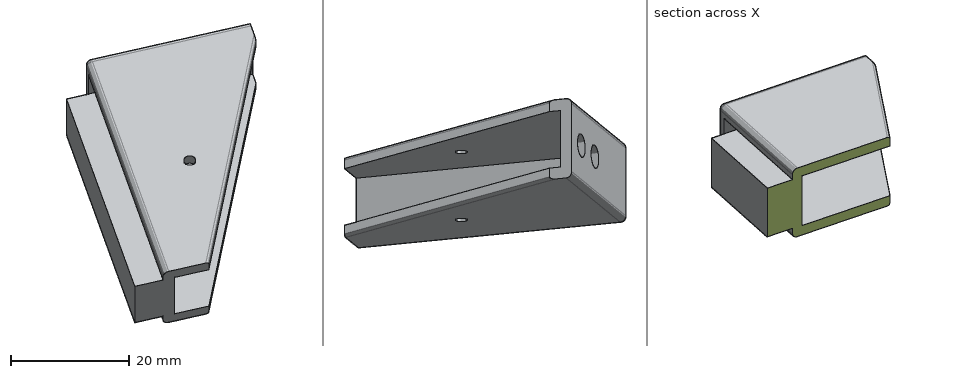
import cadquery as cq

length = 48.0
depth = 29.0
height = 14.0
wall = 2.0
edge_radius = 1.0

rear_flat = 4.0
right_depth = 8.05
slope_edge_radius = 0.5

block_start = 6.0
block_overhang = 5.0
block_insertion = 2.0
block_width = block_overhang + block_insertion

pin_diameter = 2.0
pin_x = 26.0
pin_y = 11.0
side_hole_diameter = 4.0
side_hole_pitch = 7.0
rear_hole_margin = 5.0

inner_height = height - 2 * wall


def make_body():
    """Wedge-shaped block with rounded left, front and sloped edges."""
    body = (
        cq.Workplane("XY")
        .polyline([(0, 0), (length, 0), (length, right_depth), (rear_flat, depth), (0, depth)])
        .close()
        .extrude(height)
    )
    body = body.faces("<X or <Y").edges("not (>X or >Y)").fillet(edge_radius)
    slope_middle = ((length + rear_flat) / 2, (right_depth + depth) / 2)
    for z in (0, height):
        slope_edge = cq.selectors.NearestToPointSelector((*slope_middle, z))
        body = body.edges(slope_edge).fillet(slope_edge_radius)
    return body


def make_cavity():
    """Space between the plates, open at the front, right and rear."""
    return cq.Workplane("XY").box(length, depth, inner_height, centered=False).translate((wall, 0, wall))


def make_block():
    return (
        cq.Workplane("XY")
        .box(length - block_start, block_width, inner_height, centered=False)
        .translate((block_start, -block_overhang, wall))
    )


def make_pin_hole():
    return cq.Workplane("XY").center(pin_x, pin_y).circle(pin_diameter / 2).extrude(height)


def make_side_holes():
    """Pair of holes through the left wall."""
    rear_hole_y = depth - rear_hole_margin
    return (
        cq.Workplane("YZ")
        .pushPoints([(rear_hole_y, height / 2), (rear_hole_y - side_hole_pitch, height / 2)])
        .circle(side_hole_diameter / 2)
        .extrude(wall)
    )


channel = make_body().cut(make_cavity()).cut(make_side_holes())
result = channel.union(make_block()).cut(make_pin_hole())